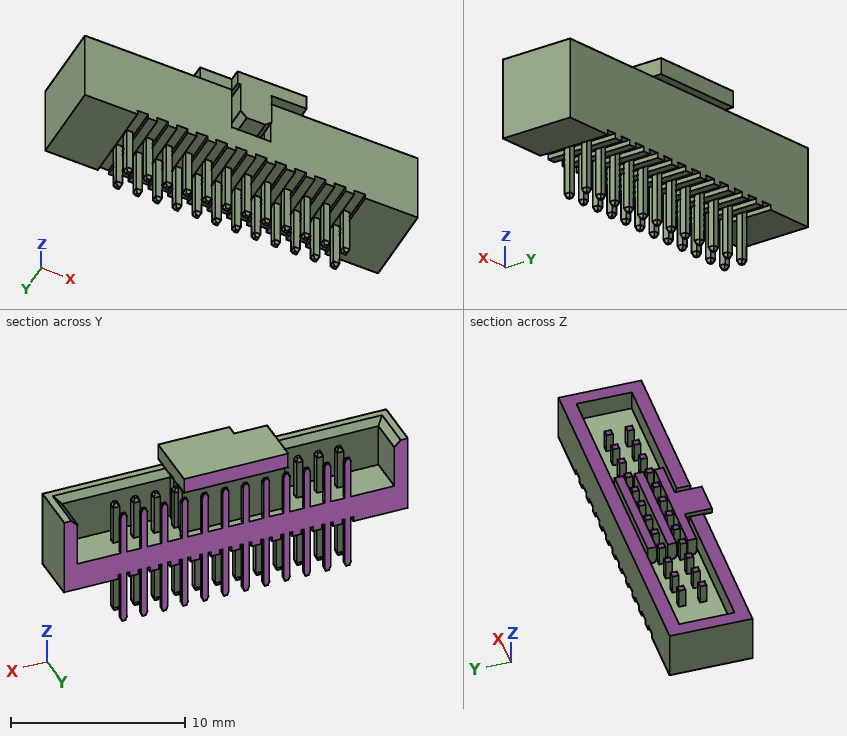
import cadquery as cq

body_length = 21.44
body_width = 5.0
body_height = 4.9
rim_wall = 0.45
rim_chamfer = 0.4
cavity_wall = rim_wall + rim_chamfer
floor_height = 1.8

pin_columns = 12
pin_pitch = 1.27
row_pitch = 1.27
pin_width = 0.4
pin_tip_inset = 0.1
pin_tip_height = 0.25
pin_bottom = -3.0
pin_top = 4.5
relief_width = 0.7
relief_height = 0.3

slot_width = 2.5

cap_length = 6.5
cap_thickness = 1.0
cap_overhang = 0.6
cap_left_front = -2.4
cap_lobe_left = -1.2
tongue_width = 2.0
tongue_bottom = 2.33
tongue_chamfer = 0.4
rib_length = 6.4
rib_width = 0.55
rib_pitch = 1.2
rib_floor_gap = 0.05
rib_chamfer_width = 0.15
rib_chamfer_height = 0.17

cap_half_depth = body_width / 2 + cap_overhang
pin_xs = [(i - (pin_columns - 1) / 2) * pin_pitch for i in range(pin_columns)]
pin_ys = [-row_pitch / 2, row_pitch / 2]


def box_between(x_range, y_range, z_range):
    """Axis-aligned box from its low and high limits along each axis."""
    size = [high - low for low, high in (x_range, y_range, z_range)]
    corner = (x_range[0], y_range[0], z_range[0])
    return cq.Workplane("XY").box(*size, centered=False).translate(corner)


def centred_range(width, centre=0.0):
    return (centre - width / 2, centre + width / 2)


def make_cavity():
    """Rectangular cavity that flares out at the rim."""
    inner_length = body_length - 2 * cavity_wall
    inner_width = body_width - 2 * cavity_wall
    well = box_between(
        centred_range(inner_length), centred_range(inner_width), (floor_height, body_height)
    )
    flare = (
        cq.Workplane("XY", origin=(0, 0, body_height - rim_chamfer))
        .rect(inner_length, inner_width)
        .workplane(offset=rim_chamfer)
        .rect(body_length - 2 * rim_wall, body_width - 2 * rim_wall)
        .loft(ruled=True)
    )
    return well.union(flare)


def make_housing():
    """Box with its cavity, the front keying slot and a relief groove under each pin column."""
    housing = box_between(centred_range(body_length), centred_range(body_width), (0, body_height))
    slot = box_between(centred_range(slot_width), (-body_width / 2, 0), (floor_height, body_height))
    housing = housing.cut(make_cavity()).cut(slot)
    for x in pin_xs:
        relief = box_between(
            centred_range(relief_width, x), centred_range(body_width), (0, relief_height)
        )
        housing = housing.cut(relief)
    return housing


def make_pin(x, y):
    """Square post with a truncated pyramid at each end."""
    tip_width = pin_width - 2 * pin_tip_inset
    shank_bottom = pin_bottom + pin_tip_height
    shank_top = pin_top - pin_tip_height
    pin = box_between(centred_range(pin_width, x), centred_range(pin_width, y), (shank_bottom, shank_top))
    for base_z, offset in ((shank_bottom, -pin_tip_height), (shank_top, pin_tip_height)):
        tip = (
            cq.Workplane("XY", origin=(x, y, base_z))
            .rect(pin_width, pin_width)
            .workplane(offset=offset)
            .rect(tip_width, tip_width)
            .loft(ruled=True)
        )
        pin = pin.union(tip)
    return pin


def make_rib(y):
    """Rib hanging from the cap to just above the cavity floor, with its lower front edge chamfered."""
    rib_bottom = floor_height + rib_floor_gap
    rib = box_between(centred_range(rib_length), centred_range(rib_width, y), (rib_bottom, body_height))
    return rib.faces("<Z").edges("<Y").chamfer(rib_chamfer_height, rib_chamfer_width)


def make_cap():
    """Plate notched at its front left corner, with the tongue and the ribs below it."""
    cap_top = body_height + cap_thickness
    cap = box_between(
        centred_range(cap_length), centred_range(2 * cap_half_depth), (body_height, cap_top)
    )
    notch = box_between(
        (-cap_length / 2, cap_lobe_left), (-cap_half_depth, cap_left_front), (body_height, cap_top)
    )
    cap = cap.cut(notch)
    rib_front = -rib_pitch - rib_width / 2
    tongue = box_between(
        centred_range(tongue_width), (-cap_half_depth, rib_front), (tongue_bottom, body_height)
    )
    tongue = tongue.faces("<Z").edges("|Y").chamfer(tongue_chamfer)
    cap = cap.union(tongue)
    for y in (-rib_pitch, 0, rib_pitch):
        cap = cap.union(make_rib(y))
    return cap


result = make_housing().union(make_cap())
for pin_x in pin_xs:
    for pin_y in pin_ys:
        result = result.union(make_pin(pin_x, pin_y))